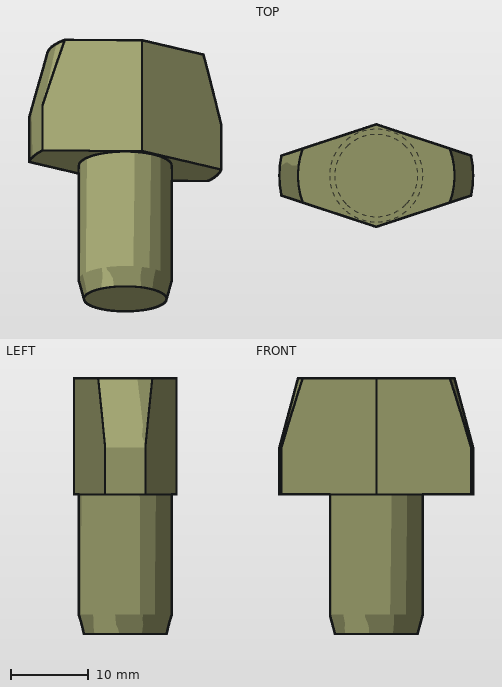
import cadquery as cq
import math

head_diameter = 25.0
head_height = 15.0
head_straight_height = 6.0
diamond_width = 13.23
diamond_face_angle = 18.25

shank_diameter = 12.0
shank_length = 18.0
lead_in_length = 2.5

taper_angle = 15.0
taper_slope = math.tan(math.radians(taper_angle))


def make_diamond():
    """Diamond prism whose pointed ends reach past the turned envelope."""
    half_width = diamond_width / 2
    half_length = half_width / math.tan(math.radians(diamond_face_angle))
    corners = [(half_length, 0), (0, half_width), (-half_length, 0), (0, -half_width)]
    return cq.Workplane("XY").polyline(corners).close().extrude(head_height)


def make_head_envelope():
    """Cylinder that narrows to a cone towards the top of the head."""
    radius = head_diameter / 2
    top_radius = radius - (head_height - head_straight_height) * taper_slope
    profile = [
        (0, 0),
        (radius, 0),
        (radius, head_straight_height),
        (top_radius, head_height),
        (0, head_height),
    ]
    return cq.Workplane("XZ").polyline(profile).close().revolve()


def make_shank():
    """Round pin hanging below the head, tapered at its lower end."""
    radius = shank_diameter / 2
    tip_radius = radius - lead_in_length * taper_slope
    profile = [
        (0, 0),
        (radius, 0),
        (radius, lead_in_length - shank_length),
        (tip_radius, -shank_length),
        (0, -shank_length),
    ]
    return cq.Workplane("XZ").polyline(profile).close().revolve()


head = make_diamond().intersect(make_head_envelope())
result = head.union(make_shank())